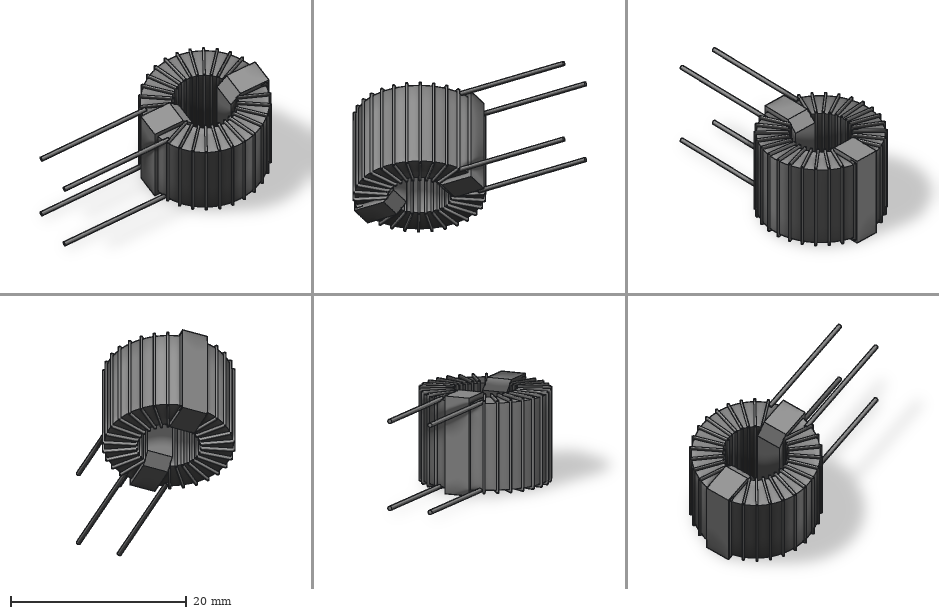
import cadquery as cq

CORE_OUTER_RADIUS = 7.366
CORE_INNER_RADIUS = 3.81
CORE_HEIGHT = 10.16

WIRE_WIDTH = 0.254
TURN_OUTER_RADIUS = CORE_OUTER_RADIUS + WIRE_WIDTH
TURN_INNER_RADIUS = CORE_INNER_RADIUS - WIRE_WIDTH
END_RISE = 0.381
TURN_HEIGHT = CORE_HEIGHT + 2 * END_RISE
LEG_HEIGHT = TURN_HEIGHT - WIRE_WIDTH
TURN_PITCH = 12.0
FIRST_TURN_ANGLE = TURN_PITCH / 2
TURNS_ABOVE_X = 7
TURNS_BELOW_X = 6

BLOCK_WIDTH = 3.048
BLOCK_HEIGHT = 11.43
BLOCK_OUTER_Y = TURN_OUTER_RADIUS
BLOCK_INNER_Y = 2.54
BLOCK_CHAMFER = 1.27

LEAD_DIAMETER = 0.508
LEAD_SPACING_X = 5.08
LEAD_START_Y = -6.35
LEAD_LENGTH = 13.97


def make_core():
    """Plain ring, centred on the origin."""
    return (
        cq.Workplane("XY")
        .circle(CORE_OUTER_RADIUS)
        .circle(CORE_INNER_RADIUS)
        .extrude(CORE_HEIGHT / 2, both=True)
    )


def make_turn(angle):
    """One wire loop: end runs over the core, and straight legs outside and in the bore."""
    axis_inset = WIRE_WIDTH / 2
    run_inner = TURN_INNER_RADIUS + axis_inset
    run_outer = TURN_OUTER_RADIUS - axis_inset
    runs = (
        cq.Workplane("YZ", origin=(run_inner, 0, 0))
        .slot2D(TURN_HEIGHT, WIRE_WIDTH, 90)
        .extrude(run_outer - run_inner)
    )
    legs = (
        cq.Workplane("XY")
        .center((run_inner + run_outer) / 2, 0)
        .slot2D(TURN_OUTER_RADIUS - TURN_INNER_RADIUS, WIRE_WIDTH)
        .extrude(LEG_HEIGHT / 2, both=True)
    )
    return runs.union(legs).rotate((0, 0, 0), (0, 0, 1), angle)


def make_turns():
    """Two mirrored windings, each with one more turn towards +Y than towards -Y."""
    turns = []
    for step in range(-TURNS_BELOW_X, TURNS_ABOVE_X):
        angle = FIRST_TURN_ANGLE + step * TURN_PITCH
        turns.append(make_turn(angle))
        turns.append(make_turn(180 - angle))
    return turns


def make_block_blank(side):
    """Separator block before chamfering; side is +1 or -1 along Y."""
    depth = BLOCK_OUTER_Y - BLOCK_INNER_Y
    mid_y = (BLOCK_OUTER_Y + BLOCK_INNER_Y) / 2
    return (
        cq.Workplane("XY")
        .box(BLOCK_WIDTH, depth, BLOCK_HEIGHT)
        .translate((0, side * mid_y, 0))
    )


def make_block(side):
    """Separator block with its upper and lower bore-side edges chamfered."""
    bore_face = "<Y" if side > 0 else ">Y"
    return make_block_blank(side).faces(bore_face).edges("|X").chamfer(BLOCK_CHAMFER)


def make_leads():
    """Four round leads, two at each end of the core."""
    return (
        cq.Workplane("XZ", origin=(0, LEAD_START_Y, 0))
        .rect(LEAD_SPACING_X, CORE_HEIGHT, forConstruction=True)
        .vertices()
        .circle(LEAD_DIAMETER / 2)
        .extrude(LEAD_LENGTH)
    )


result = make_core()
for turn in make_turns():
    result = result.union(turn)
for block_side in (1, -1):
    result = result.cut(make_block_blank(block_side))
    result = result.union(make_block(block_side))
result = result.union(make_leads())